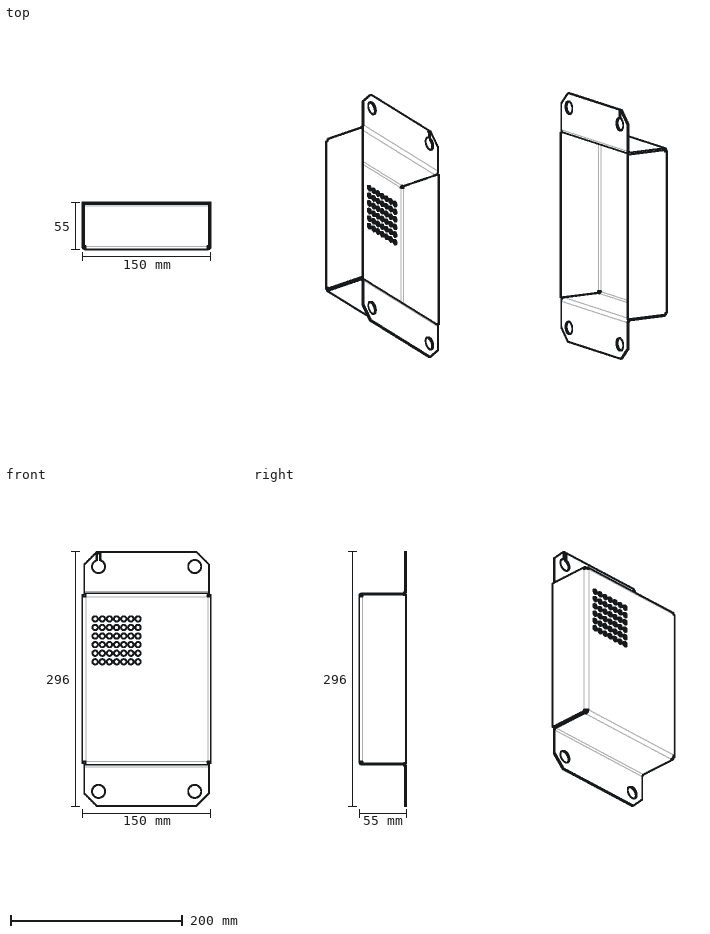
import cadquery as cq
import math

BODY_WIDTH = 150.0
BODY_HEIGHT = 200.0
DEPTH = 55.0
TOTAL_HEIGHT = 296.0

THICKNESS = 2.0
INNER_RADIUS = 2.0
OUTER_RADIUS = INNER_RADIUS + THICKNESS
CORNER_GAP = 0.1
WALL_INSET = THICKNESS + CORNER_GAP

TAB_CHAMFER = 14.8
MOUNT_HOLE_DIAMETER = 15.0
MOUNT_HOLE_X = 56.0
MOUNT_HOLE_Z = 131.0

SLOT_FRONT_WIDTH = 5.4
SLOT_BACK_WIDTH = 3.0
SLOT_LIP_DEPTH = 0.5
SLOT_EDGE_MARGIN = 2.0

VENT_DIAMETER = 6.0
VENT_COLUMNS = 7
VENT_ROWS = 6
VENT_FIELD = 50.0
VENT_LEFT_X = -60.0
VENT_BOTTOM_Z = 20.0

FRONT_Y = -DEPTH / 2
BACK_Y = DEPTH / 2
BEND_END_Y = FRONT_Y + OUTER_RADIUS
WALL_DEPTH = BACK_Y - BEND_END_Y
HALF_WIDTH = BODY_WIDTH / 2
HALF_HEIGHT = BODY_HEIGHT / 2
HALF_TOTAL = TOTAL_HEIGHT / 2
FACE_WIDTH = BODY_WIDTH - 2 * OUTER_RADIUS
FACE_HEIGHT = BODY_HEIGHT - 2 * OUTER_RADIUS
TAB_WIDTH = BODY_WIDTH - 2 * WALL_INSET
SIDE_WALL_HEIGHT = BODY_HEIGHT - 2 * WALL_INSET
INNER_ARC = INNER_RADIUS * math.sqrt(0.5)
OUTER_ARC = OUTER_RADIUS * math.sqrt(0.5)


def block(size, center):
    return cq.Workplane("XY").box(*size).translate(center)


def bend_outline(plane, u, v, sign_u, sign_v):
    """Quarter ring about (u, v), opening towards the given signs."""
    return (
        cq.Workplane(plane)
        .moveTo(u + sign_u * INNER_RADIUS, v)
        .lineTo(u + sign_u * OUTER_RADIUS, v)
        .threePointArc((u + sign_u * OUTER_ARC, v + sign_v * OUTER_ARC), (u, v + sign_v * OUTER_RADIUS))
        .lineTo(u, v + sign_v * INNER_RADIUS)
        .threePointArc((u + sign_u * INNER_ARC, v + sign_v * INNER_ARC), (u + sign_u * INNER_RADIUS, v))
        .close()
    )


def front_face():
    center = (0, FRONT_Y + THICKNESS / 2, 0)
    return block((FACE_WIDTH, THICKNESS, FACE_HEIGHT), center)


def side_wall():
    """Wall on the +X side with its bend into the front face."""
    bend = bend_outline("XY", FACE_WIDTH / 2, BEND_END_Y, 1, -1).extrude(FACE_HEIGHT / 2, both=True)
    center = (HALF_WIDTH - THICKNESS / 2, BEND_END_Y + WALL_DEPTH / 2, 0)
    wall = block((THICKNESS, WALL_DEPTH, SIDE_WALL_HEIGHT), center)
    return bend.union(wall)


def end_wall():
    """Wall on the +Z side with its bend into the front face and its bent-out mounting tab."""
    front_bend = bend_outline("YZ", BEND_END_Y, FACE_HEIGHT / 2, -1, 1).extrude(FACE_WIDTH / 2, both=True)

    tab_bend_y = BACK_Y - OUTER_RADIUS
    tab_bend_z = HALF_HEIGHT + INNER_RADIUS
    tab_bend = bend_outline("YZ", tab_bend_y, tab_bend_z, 1, -1).extrude(TAB_WIDTH / 2, both=True)

    wall_length = tab_bend_y - BEND_END_Y
    wall_center = (0, BEND_END_Y + wall_length / 2, HALF_HEIGHT - THICKNESS / 2)
    wall = block((TAB_WIDTH, wall_length, THICKNESS), wall_center)

    tab_height = HALF_TOTAL - tab_bend_z
    tab_center = (0, BACK_Y - THICKNESS / 2, tab_bend_z + tab_height / 2)
    tab = (
        block((TAB_WIDTH, THICKNESS, tab_height), tab_center)
        .edges("|Y and >Z")
        .chamfer(TAB_CHAMFER)
    )
    return front_bend.union(wall).union(tab_bend).union(tab)


def mount_holes():
    points = [(x, z) for x in (-MOUNT_HOLE_X, MOUNT_HOLE_X) for z in (-MOUNT_HOLE_Z, MOUNT_HOLE_Z)]
    return (
        cq.Workplane("XZ", origin=(0, BACK_Y, 0))
        .pushPoints(points)
        .circle(MOUNT_HOLE_DIAMETER / 2)
        .extrude(THICKNESS)
    )


def keyhole_slot():
    """Slot running up from the upper left mounting hole, wider at the front of the tab."""
    front_y = BACK_Y - THICKNESS
    taper_y = front_y + SLOT_LIP_DEPTH
    return (
        cq.Workplane("XY", origin=(-MOUNT_HOLE_X, 0, MOUNT_HOLE_Z))
        .moveTo(-SLOT_FRONT_WIDTH / 2, front_y)
        .lineTo(SLOT_FRONT_WIDTH / 2, front_y)
        .lineTo(SLOT_FRONT_WIDTH / 2, taper_y)
        .lineTo(SLOT_BACK_WIDTH / 2, BACK_Y)
        .lineTo(-SLOT_BACK_WIDTH / 2, BACK_Y)
        .lineTo(-SLOT_FRONT_WIDTH / 2, taper_y)
        .close()
        .extrude(HALF_TOTAL - SLOT_EDGE_MARGIN - MOUNT_HOLE_Z)
    )


def vent_holes():
    pitch_x = VENT_FIELD / (VENT_COLUMNS - 1)
    pitch_z = VENT_FIELD / (VENT_ROWS - 1)
    field_center = (VENT_LEFT_X + VENT_FIELD / 2, FRONT_Y + THICKNESS, VENT_BOTTOM_Z + VENT_FIELD / 2)
    return (
        cq.Workplane("XZ", origin=field_center)
        .rarray(pitch_x, pitch_z, VENT_COLUMNS, VENT_ROWS)
        .circle(VENT_DIAMETER / 2)
        .extrude(THICKNESS)
    )


right_wall = side_wall()
left_wall = right_wall.mirror("YZ")
top_wall = end_wall()
bottom_wall = top_wall.mirror("XY")

cover = front_face()
for wall in (right_wall, left_wall, top_wall, bottom_wall):
    cover = cover.union(wall)

result = cover.cut(mount_holes()).cut(keyhole_slot()).cut(vent_holes())